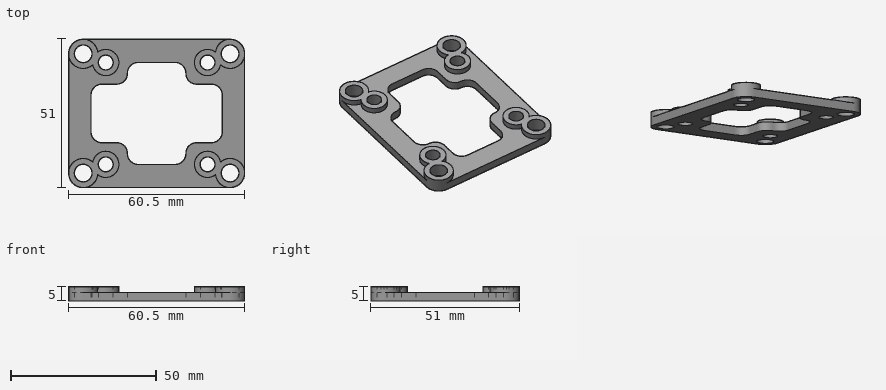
import cadquery as cq

length = 60.5
width = 51.0
height = 5.0
plate_thickness = 3.0

corner_boss_radius = 5.0
corner_hole_diameter = 6.0
corner_x = length / 2 - corner_boss_radius
corner_y = width / 2 - corner_boss_radius

inner_boss_diameter = 9.0
inner_hole_diameter = 5.0
inner_offset = 17.5

window_length = 45.0
window_width = 34.95
arm_width = 20.0
window_fillet = 3.7


def mirrored_points(x, y):
    """Return the four points symmetric about both plate axes."""
    return [(sx * x, sy * y) for sx in (-1, 1) for sy in (-1, 1)]


def bosses(points, diameter):
    """Round bosses rising from the top face of the plate."""
    base = cq.Workplane("XY").workplane(offset=plate_thickness)
    return base.pushPoints(points).circle(diameter / 2).extrude(height - plate_thickness)


def hole_cutters(points, diameter):
    """Full-height cylinders that cut the through holes."""
    return cq.Workplane("XY").pushPoints(points).circle(diameter / 2).extrude(height)


def window():
    """Cross-shaped cutter with all inside and outside corners rounded."""
    long_arm = cq.Workplane("XY").rect(window_length, arm_width).extrude(height)
    short_arm = cq.Workplane("XY").rect(arm_width, window_width).extrude(height)
    return long_arm.union(short_arm).edges("|Z").fillet(window_fillet)


corner_points = mirrored_points(corner_x, corner_y)
inner_points = mirrored_points(inner_offset, inner_offset)

plate = cq.Workplane("XY").rect(length, width).extrude(plate_thickness)
plate = plate.edges("|Z").fillet(corner_boss_radius)

corner_bosses = bosses(corner_points, 2 * corner_boss_radius)
inner_bosses = bosses(inner_points, inner_boss_diameter)

result = plate.cut(window())
result = result.union(corner_bosses.union(inner_bosses), clean=False)
result = result.cut(hole_cutters(corner_points, corner_hole_diameter), clean=False)
result = result.cut(hole_cutters(inner_points, inner_hole_diameter), clean=False)